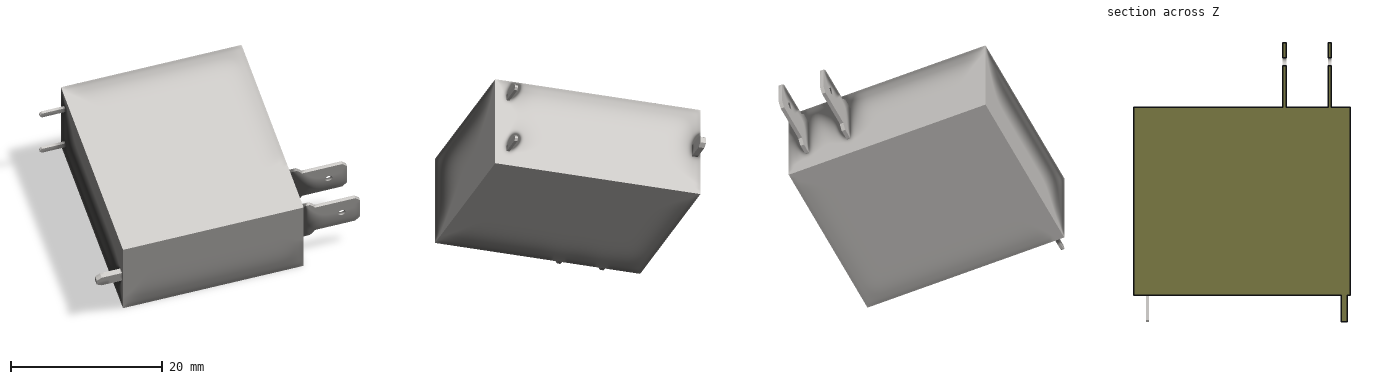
import cadquery as cq

body_width = 28.6
body_depth = 24.9
body_height = 12.4
front_y = -body_depth / 2
back_y = body_depth / 2

pin_length = 3.5
right_pin_edge_gap = 0.8
pin_row_spacing = 26.0
right_pin_x = body_width / 2 - right_pin_edge_gap
left_pin_x = right_pin_x - pin_row_spacing

left_pin_thickness = 0.4
left_pin_height = 0.8
left_pin_pitch = 7.5
left_pin_tip_height = 0.2
left_pin_taper_length = 0.3

right_pin_thickness = 0.8
right_pin_height = 1.6
right_pin_tip_height = 0.8
right_pin_taper_length = 0.7

blade_length = 8.5
blade_thickness = 0.5
blade_height = 4.75
blade_tip_chamfer = 0.65
blade_reach = 6.3
shoulder_height = 6.35
shoulder_chamfer = 0.6
blade_hole_diameter = 1.0
blade_hole_from_tip = 2.5
blade_pitch = 6.0
blade_edge_gap = 2.7
outer_blade_x = body_width / 2 - blade_edge_gap
inner_blade_x = outer_blade_x - blade_pitch


def plate(upper_profile, thickness, x, z):
    """Plate of a profile of (y, z) points mirrored about its own centreline, centred on x and z."""
    lower_profile = [(py, -pz) for py, pz in reversed(upper_profile)]
    outline = cq.Workplane("YZ").polyline(upper_profile + lower_profile).close()
    return outline.extrude(thickness / 2, both=True).translate((x, 0, z))


def pin(x, z, thickness, height, tip_height, taper_length):
    """Flat pin pointing to -Y, tapered above and below at its tip."""
    tip_y = front_y - pin_length
    upper_profile = [
        (front_y, height / 2),
        (tip_y + taper_length, height / 2),
        (tip_y, tip_height / 2),
    ]
    return plate(upper_profile, thickness, x, z)


def blade(x):
    """Quick-connect blade pointing to +Y, with a chamfered shoulder and a detent hole."""
    tip_y = back_y + blade_length
    shoulder_y = tip_y - blade_reach
    upper_profile = [
        (back_y, shoulder_height / 2),
        (shoulder_y - shoulder_chamfer, shoulder_height / 2),
        (shoulder_y, shoulder_height / 2 - shoulder_chamfer),
        (shoulder_y, blade_height / 2),
        (tip_y - blade_tip_chamfer, blade_height / 2),
        (tip_y, blade_height / 2 - blade_tip_chamfer),
    ]
    hole = (
        cq.Workplane("YZ")
        .center(tip_y - blade_hole_from_tip, 0)
        .circle(blade_hole_diameter / 2)
        .extrude(blade_thickness, both=True)
        .translate((x, 0, 0))
    )
    return plate(upper_profile, blade_thickness, x, 0).cut(hole)


result = cq.Workplane("XY").box(body_width, body_depth, body_height)

for pin_z in (-left_pin_pitch / 2, left_pin_pitch / 2):
    left_pin = pin(
        left_pin_x, pin_z, left_pin_thickness,
        left_pin_height, left_pin_tip_height, left_pin_taper_length,
    )
    result = result.union(left_pin)

right_pin = pin(
    right_pin_x, 0, right_pin_thickness,
    right_pin_height, right_pin_tip_height, right_pin_taper_length,
)
result = result.union(right_pin)

for blade_x in (inner_blade_x, outer_blade_x):
    result = result.union(blade(blade_x))